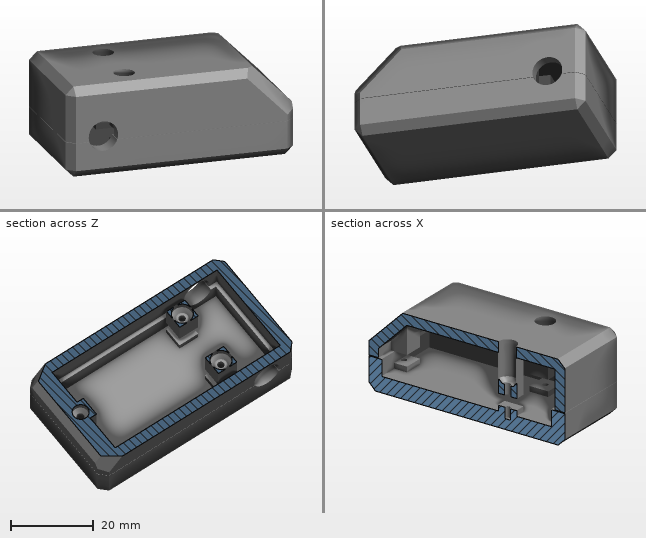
import cadquery as cq
import math

WIDTH = 32.0
LENGTH = 58.0
HEIGHT = 23.0
EDGE_CHAMFER = 2.05
SLOPE_SIZE = 10.1
SLOPE_SIDE_CHAMFER = 3.0

BASE_TOP = 9.05
PARTING_GAP = 0.1
COVER_BOTTOM = BASE_TOP + PARTING_GAP

COVER_WALL = 3.0
BASE_WALL = 4.0
BASE_FLOOR = 4.5

CABLE_DIAMETER = 7.5
CABLE_Y = -20.0
CABLE_Z = 10.25

FRONT_SCREW_X = 8.0
FRONT_SCREW_Y = -12.05
REAR_SCREW_Y = 24.0
POST_SIZE = 5.55
BASE_POST_TOP = 6.05
SEAT_HEIGHT = COVER_BOTTOM + COVER_WALL
FRONT_HEAD_DIAMETER = 5.2
FRONT_SEAT_DIAMETER = 3.2
FRONT_CLEARANCE_DIAMETER = 1.8
REAR_HEAD_DIAMETER = 4.0
REAR_CLEARANCE_DIAMETER = 2.0
PILOT_DIAMETER = 1.5
PILOT_BOTTOM = 3.0

FRONT_SCREWS = [(-FRONT_SCREW_X, FRONT_SCREW_Y), (FRONT_SCREW_X, FRONT_SCREW_Y)]
REAR_SCREW = (0, REAR_SCREW_Y)
ALL_SCREWS = FRONT_SCREWS + [REAR_SCREW]


def block(width, length, bottom, top):
    """Upright box centred on the Z axis between two heights."""
    return cq.Workplane("XY", origin=(0, 0, bottom)).rect(width, length).extrude(top - bottom)


def cylinders(places, diameter, bottom, top):
    """Vertical cylinders at the given places between two heights."""
    plane = cq.Workplane("XY", origin=(0, 0, bottom))
    return plane.pushPoints(places).circle(diameter / 2).extrude(top - bottom)


def posts(bottom, top):
    """Square posts around all the screws."""
    plane = cq.Workplane("XY", origin=(0, 0, bottom))
    return plane.pushPoints(ALL_SCREWS).rect(POST_SIZE, POST_SIZE).extrude(top - bottom)


def slope_side_cutter(side):
    """Triangular prism along the slope that bevels its left (-1) or right (+1) edge."""
    slope_top = (side * WIDTH / 2, LENGTH / 2 - SLOPE_SIZE, HEIGHT)
    plane = cq.Plane(origin=slope_top, xDir=(1, 0, 0), normal=(0, 1, -1))
    depth = SLOPE_SIDE_CHAMFER
    bevel = [(-2 * side * depth, -depth), (side * depth, 2 * depth), (side * depth, -depth)]
    return cq.Workplane(plane).polyline(bevel).close().extrude(LENGTH, both=True)


def housing_envelope():
    """Solid outer shape shared by the base and the cover."""
    envelope = block(WIDTH, LENGTH, 0, HEIGHT).edges().chamfer(EDGE_CHAMFER)
    rear = LENGTH / 2
    slope_corner = [(rear - SLOPE_SIZE, HEIGHT), (rear, HEIGHT), (rear, HEIGHT - SLOPE_SIZE)]
    envelope = envelope.cut(cq.Workplane("YZ").polyline(slope_corner).close().extrude(WIDTH, both=True))
    for side in (-1, 1):
        envelope = envelope.cut(slope_side_cutter(side))
    return envelope


def cable_hole():
    """Cylinder through both side walls, shared by the base and the cover."""
    plane = cq.Workplane("YZ").center(CABLE_Y, CABLE_Z)
    return plane.circle(CABLE_DIAMETER / 2).extrude(WIDTH, both=True)


def cover_cavity():
    """Room inside the cover, with its roof parallel to the slope at the rear."""
    rear = LENGTH / 2 - COVER_WALL
    roof = HEIGHT - COVER_WALL
    slope_sum = LENGTH / 2 + HEIGHT - SLOPE_SIZE - COVER_WALL * math.sqrt(2)
    outline = [
        (-rear, COVER_BOTTOM),
        (rear, COVER_BOTTOM),
        (rear, slope_sum - rear),
        (slope_sum - roof, roof),
        (-rear, roof),
    ]
    inner_half_width = WIDTH / 2 - COVER_WALL
    cavity = cq.Workplane("YZ").polyline(outline).close().extrude(inner_half_width, both=True)
    return cavity.cut(posts(COVER_BOTTOM, HEIGHT))


def screw_hole(place, head_diameter, seat_diameter, clearance_diameter):
    """Head bore, 45 degree conical seat and clearance hole of one screw, as one solid to cut away."""
    seat_depth = (head_diameter - seat_diameter) / 2
    clearance = cylinders([place], clearance_diameter, COVER_BOTTOM, HEIGHT)
    seat = cq.Solid.makeCone(seat_diameter / 2, head_diameter / 2, seat_depth, cq.Vector(*place, SEAT_HEIGHT))
    head_bore = cylinders([place], head_diameter, SEAT_HEIGHT + seat_depth, HEIGHT)
    return clearance.union(cq.Workplane(obj=seat)).union(head_bore)


def make_base(envelope):
    """Lower tray with screw posts on its floor."""
    base = envelope.intersect(block(WIDTH, LENGTH, 0, BASE_TOP))
    cavity = block(WIDTH - 2 * BASE_WALL, LENGTH - 2 * BASE_WALL, BASE_FLOOR, BASE_TOP)
    cavity = cavity.cut(posts(BASE_FLOOR, BASE_POST_TOP))
    pilots = cylinders(ALL_SCREWS, PILOT_DIAMETER, PILOT_BOTTOM, BASE_TOP)
    return base.cut(cavity).cut(cable_hole()).cut(pilots)


def make_cover(envelope):
    """Upper shell with screw posts hanging from its roof."""
    cover = envelope.intersect(block(WIDTH, LENGTH, COVER_BOTTOM, HEIGHT))
    cover = cover.cut(cover_cavity()).cut(cable_hole())
    for place in FRONT_SCREWS:
        cover = cover.cut(
            screw_hole(place, FRONT_HEAD_DIAMETER, FRONT_SEAT_DIAMETER, FRONT_CLEARANCE_DIAMETER)
        )
    rear_hole = screw_hole(
        REAR_SCREW, REAR_HEAD_DIAMETER, REAR_CLEARANCE_DIAMETER, REAR_CLEARANCE_DIAMETER
    )
    return cover.cut(rear_hole)


envelope = housing_envelope()
base = make_base(envelope)
cover = make_cover(envelope)

result = cq.Compound.makeCompound([base.val(), cover.val()])